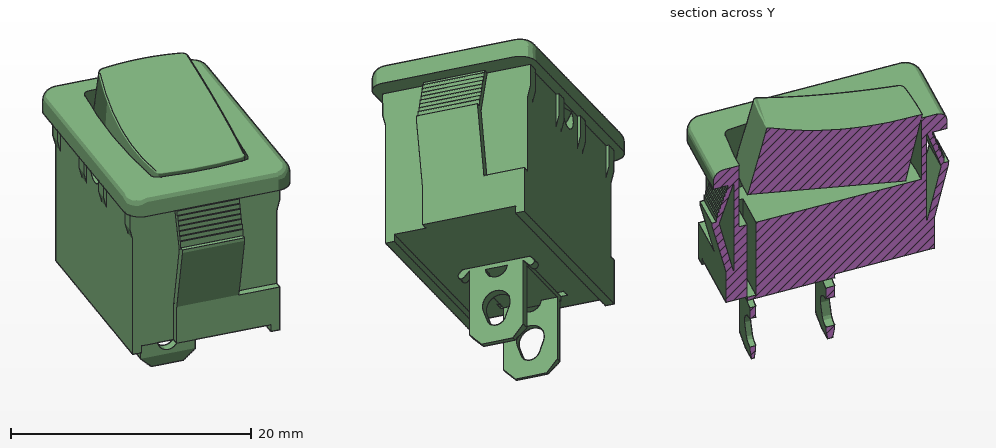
import cadquery as cq
import math


BEZEL_LENGTH = 20.8
BEZEL_WIDTH = 14.8
BEZEL_HEIGHT = 2.0
BEZEL_CORNER_RADIUS = 1.49
BEZEL_EDGE_RADIUS = 1.0

OUTLINE_CORNER_RADIUS = 0.57
WELL_HALF_LENGTH = 8.1
WELL_HALF_WIDTH = 4.8
WELL_END_BULGE = 0.29
WELL_SIDE_BULGE = 0.5
WELL_FLOOR_Z = -5.0

HOUSING_LENGTH = 17.2
HOUSING_WIDTH = 12.93
BASE_Z = -13.35
SKIRT_Z = -14.0
SKIRT_THICKNESS = 0.8

RIB_WIDTH = 1.05
RIB_PROTRUSION = 0.25
RIB_STRAIGHT_Z = -2.0
RIB_END_Z = -3.0
INNER_RIB_X = 2.2
OUTER_RIB_X = (HOUSING_LENGTH - RIB_WIDTH) / 2

CLIP_HALF_WIDTH = 2.8
CLIP_PEAK_X = 10.55
CLIP_PEAK_TOP_Z = -3.78
CLIP_PEAK_BOTTOM_Z = -4.1
CLIP_INNER_PEAK_X = 9.85
CLIP_ROOT_X = 9.12
TOOTH_COUNT = 8
TOOTH_DEPTH = 0.13
FIRST_TOOTH_Z = -0.25
LAST_TOOTH_Z = -3.18
FOOT_X = 9.28
FOOT_TOP_Z = -9.9

PIVOT_X = 0.18
PIVOT_Z = -0.96
PIVOT_DIAMETER = 2.0
ROCKER_TILT = 12.7
ROCKER_BOTTOM = -2.3
ROCKER_TIP = 5.1
ROCKER_HALF_LENGTH = 7.25
ROCKER_HALF_WIDTH = 4.65
ROCKER_END_BULGE = 0.29
ROCKER_SIDE_BULGE = 0.57
ROCKER_DRAFT = 1.0
ROCKER_DISH = 0.95
ROCKER_EDGE_RADIUS = 0.1
PIN_BEVEL_START = 0.65
PIN_BEVEL_ANGLE = 40.0

TERMINAL_HALF_WIDTH = 2.45
TERMINAL_END_Z = -20.55
TERMINAL_TAPER = 1.02
END_TERMINAL_X = -6.88
END_TERMINAL_THICKNESS = 0.55
END_TERMINAL_TIP = 0.25
CENTER_TERMINAL_X = 0.0
CENTER_TERMINAL_THICKNESS = 0.8
CENTER_TERMINAL_TIP = 0.47
ROUND_HOLE_DIAMETER = 2.0
ROUND_HOLE_Z = -13.63
EYE_TOP_RADIUS = 1.25
EYE_TOP_Z = -17.17
EYE_BOTTOM_RADIUS = 0.89
EYE_BOTTOM_Z = -18.25
SLOT_START_X = -7.4
SLOT_END_X = -6.62
SLOT_HALF_WIDTH = 3.02
PAD_THICKNESS = 0.42
LUG_RADIUS = 0.3
LUG_LENGTH = 2.08
LUG_ANGLE = 45.0
LUG_END_Y = 3.15
LUG_END_Z = -13.86


def box(x_range, y_range, z_range):
    """Box given by its limits along each axis."""
    size = [high - low for low, high in (x_range, y_range, z_range)]
    corner = (x_range[0], y_range[0], z_range[0])
    return cq.Workplane("XY").box(*size, centered=False).translate(corner)


def bulged_prism(half_length, half_width, end_bulge, side_bulge, bottom, top, draft=0.0):
    """Upright prism whose rounded-rectangle outline has four bowed sides."""
    corner_x = half_length - end_bulge
    corner_y = half_width - side_bulge
    return (
        cq.Workplane("XY", origin=(0, 0, bottom))
        .moveTo(-corner_x, -corner_y)
        .threePointArc((0, -half_width), (corner_x, -corner_y))
        .threePointArc((half_length, 0), (corner_x, corner_y))
        .threePointArc((0, half_width), (-corner_x, corner_y))
        .threePointArc((-half_length, 0), (-corner_x, -corner_y))
        .close()
        .extrude(top - bottom, taper=draft)
        .edges("not (<Z or >Z)")
        .fillet(OUTLINE_CORNER_RADIUS)
    )


def make_bezel():
    return (
        cq.Workplane("XY")
        .rect(BEZEL_LENGTH, BEZEL_WIDTH)
        .extrude(BEZEL_HEIGHT)
        .edges("|Z")
        .fillet(BEZEL_CORNER_RADIUS)
        .faces(">Z")
        .edges()
        .fillet(BEZEL_EDGE_RADIUS)
    )


def make_housing():
    """Housing block with a skirt below the base along each long wall."""
    half_length = HOUSING_LENGTH / 2
    half_width = HOUSING_WIDTH / 2
    body = box((-half_length, half_length), (-half_width, half_width), (SKIRT_Z, 0))
    channel_half = half_width - SKIRT_THICKNESS
    channel = box((-half_length, half_length), (-channel_half, channel_half), (SKIRT_Z, BASE_Z))
    return body.cut(channel)


def make_ribs():
    """Ribs on the -Y and +Y walls, each ending in a slanted foot."""
    wall_y = HOUSING_WIDTH / 2
    rib_y = wall_y + RIB_PROTRUSION
    profile = [(-rib_y, 0), (-rib_y, RIB_STRAIGHT_Z), (-wall_y, RIB_END_Z)]
    profile += [(-y, z) for y, z in reversed(profile)]
    ribs = cq.Workplane("XY")
    for x in (-OUTER_RIB_X, -INNER_RIB_X, INNER_RIB_X, OUTER_RIB_X):
        plane = cq.Workplane("YZ", origin=(x, 0, 0))
        ribs = ribs.add(plane.polyline(profile).close().extrude(RIB_WIDTH / 2, both=True))
    return ribs.combine()


def make_clip():
    """Serrated spring clip of the +X wall together with its foot block."""
    wall_x = HOUSING_LENGTH / 2
    tooth_pitch = (FIRST_TOOTH_Z - LAST_TOOTH_Z) / (TOOTH_COUNT - 1)
    outer = [(CLIP_ROOT_X, 0)]
    for tooth in range(TOOTH_COUNT):
        tread_z = FIRST_TOOTH_Z - tooth * tooth_pitch
        tread_x = CLIP_ROOT_X + tooth * TOOTH_DEPTH
        outer += [(tread_x, tread_z), (tread_x + TOOTH_DEPTH, tread_z)]
    outer += [
        (outer[-1][0], CLIP_PEAK_TOP_Z),
        (CLIP_PEAK_X, CLIP_PEAK_TOP_Z),
        (CLIP_PEAK_X, CLIP_PEAK_BOTTOM_Z),
        (FOOT_X, FOOT_TOP_Z),
    ]
    inner = [(wall_x, FOOT_TOP_Z), (CLIP_INNER_PEAK_X, CLIP_PEAK_BOTTOM_Z), (wall_x, 0)]
    spring = (
        cq.Workplane("XZ")
        .polyline(outer + inner)
        .close()
        .extrude(CLIP_HALF_WIDTH, both=True)
    )
    back_y = HOUSING_WIDTH / 2
    foot = box((wall_x, FOOT_X), (-CLIP_HALF_WIDTH, back_y), (BASE_Z, FOOT_TOP_Z))
    skirt = box((wall_x, FOOT_X), (back_y - SKIRT_THICKNESS, back_y), (SKIRT_Z, BASE_Z))
    return spring.union(foot).union(skirt)


def place_on_pivot(shape):
    """Tilt a shape of the rocker frame and move it onto the pivot axis."""
    return shape.rotate((0, 0, 0), (0, 1, 0), ROCKER_TILT).translate((PIVOT_X, 0, PIVOT_Z))


def make_rocker():
    """Tilted rocker with a dished top and a pivot pin reaching both long walls."""
    body = bulged_prism(
        ROCKER_HALF_LENGTH, ROCKER_HALF_WIDTH, ROCKER_END_BULGE, ROCKER_SIDE_BULGE,
        ROCKER_BOTTOM, ROCKER_TIP, ROCKER_DRAFT,
    )
    dish_radius = (ROCKER_HALF_LENGTH**2 + ROCKER_DISH**2) / (2 * ROCKER_DISH)
    dish_center_z = ROCKER_TIP - ROCKER_DISH + dish_radius
    dish = (
        cq.Workplane("XZ")
        .center(0, dish_center_z)
        .circle(dish_radius)
        .extrude(HOUSING_WIDTH / 2, both=True)
    )
    body = body.cut(dish)
    rim = body.faces(cq.selectors.NearestToPointSelector((0, 0, ROCKER_TIP)))
    body = rim.edges().fillet(ROCKER_EDGE_RADIUS)
    pin = cq.Workplane("XZ").circle(PIVOT_DIAMETER / 2).extrude(HOUSING_WIDTH / 2, both=True)
    return place_on_pivot(body.union(pin))


def make_pin_bevels():
    """Material missing where each pin end slants inward below the top of its hole."""
    pin_radius = PIVOT_DIAMETER / 2
    pin_end = HOUSING_WIDTH / 2
    drop = PIN_BEVEL_START + pin_radius
    depth = drop * math.tan(math.radians(PIN_BEVEL_ANGLE))
    pin = cq.Workplane("XZ").circle(pin_radius).extrude(pin_end, both=True)
    wedge = (
        cq.Workplane("YZ")
        .polyline([
            (-pin_end, PIN_BEVEL_START),
            (-pin_end, -pin_radius),
            (-pin_end + depth, -pin_radius),
        ])
        .close()
        .extrude(pin_radius, both=True)
    )
    return place_on_pivot(pin.intersect(wedge.union(wedge.mirror("XZ"))))


def make_terminal(x, thickness, tip_thickness):
    """Blade terminal with a tapered tip, a round hole and a teardrop eye."""
    taper_z = TERMINAL_END_Z + TERMINAL_TAPER
    tip_half_width = TERMINAL_HALF_WIDTH - TERMINAL_TAPER
    blade = box(
        (-thickness / 2, thickness / 2),
        (-TERMINAL_HALF_WIDTH, TERMINAL_HALF_WIDTH),
        (taper_z, BASE_Z),
    )
    tip = (
        cq.Workplane("XY", origin=(0, 0, taper_z))
        .rect(thickness, 2 * TERMINAL_HALF_WIDTH)
        .workplane(offset=-TERMINAL_TAPER)
        .rect(tip_thickness, 2 * tip_half_width)
        .loft(ruled=True)
    )
    return blade.union(tip).cut(make_terminal_holes(thickness)).translate((x, 0, 0))


def make_terminal_holes(thickness):
    """Round hole at the base and a teardrop eye: two circles joined by their tangents."""
    side = cq.Workplane("YZ")
    round_hole = side.center(0, ROUND_HOLE_Z).circle(ROUND_HOLE_DIAMETER / 2)
    round_hole = round_hole.extrude(thickness, both=True)
    lean = math.asin((EYE_TOP_RADIUS - EYE_BOTTOM_RADIUS) / (EYE_TOP_Z - EYE_BOTTOM_Z))
    top_y = EYE_TOP_RADIUS * math.cos(lean)
    top_z = EYE_TOP_Z - EYE_TOP_RADIUS * math.sin(lean)
    bottom_y = EYE_BOTTOM_RADIUS * math.cos(lean)
    bottom_z = EYE_BOTTOM_Z - EYE_BOTTOM_RADIUS * math.sin(lean)
    eye = (
        side.moveTo(top_y, top_z)
        .threePointArc((0, EYE_TOP_Z + EYE_TOP_RADIUS), (-top_y, top_z))
        .lineTo(-bottom_y, bottom_z)
        .threePointArc((0, EYE_BOTTOM_Z - EYE_BOTTOM_RADIUS), (bottom_y, bottom_z))
        .close()
        .extrude(thickness, both=True)
    )
    return round_hole.union(eye)


def make_lugs():
    """Round-ended lugs slanting outward below the base."""
    lug = (
        cq.Workplane("YZ")
        .slot2D(LUG_LENGTH + 2 * LUG_RADIUS, 2 * LUG_RADIUS, 90)
        .extrude(CENTER_TERMINAL_THICKNESS / 2, both=True)
        .translate((0, 0, LUG_LENGTH / 2))
        .rotate((0, 0, 0), (1, 0, 0), LUG_ANGLE)
        .translate((CENTER_TERMINAL_X, LUG_END_Y, LUG_END_Z))
    )
    return lug.union(lug.mirror("XZ"))


switch = make_bezel().union(make_housing()).union(make_ribs())
clip = make_clip()
switch = switch.union(clip).union(clip.mirror("YZ"))

well = bulged_prism(
    WELL_HALF_LENGTH, WELL_HALF_WIDTH, WELL_END_BULGE, WELL_SIDE_BULGE,
    WELL_FLOOR_Z, BEZEL_HEIGHT,
)
slot = box(
    (SLOT_START_X, SLOT_END_X), (-SLOT_HALF_WIDTH, SLOT_HALF_WIDTH), (BASE_Z, WELL_FLOOR_Z)
)
switch = switch.cut(well).cut(slot)

switch = switch.union(make_rocker()).cut(make_pin_bevels())

pad = box(
    (SLOT_START_X, CENTER_TERMINAL_X + CENTER_TERMINAL_THICKNESS / 2),
    (-TERMINAL_HALF_WIDTH, TERMINAL_HALF_WIDTH),
    (BASE_Z - PAD_THICKNESS, BASE_Z),
)
end_terminal = make_terminal(END_TERMINAL_X, END_TERMINAL_THICKNESS, END_TERMINAL_TIP)
center_terminal = make_terminal(CENTER_TERMINAL_X, CENTER_TERMINAL_THICKNESS, CENTER_TERMINAL_TIP)
switch = switch.union(end_terminal).union(center_terminal).union(pad).union(make_lugs())

result = switch